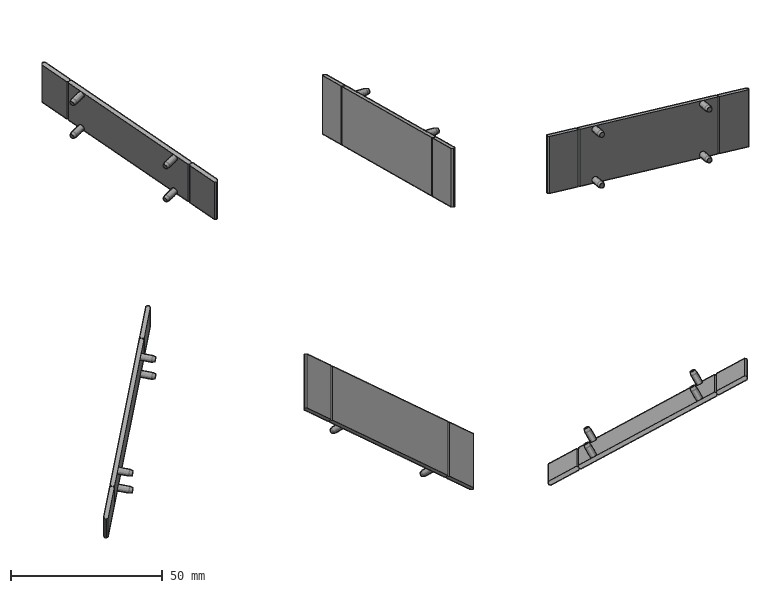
import cadquery as cq

plate_length = 75.0
plate_height = 21.0
plate_thickness = 1.6
web_thickness = 0.5
end_bevel_length = 0.5

groove_spacing = 52.0
groove_width = 0.7

pin_diameter = 2.3
pin_tip_diameter = 1.8
pin_length = 4.95
pin_tip_length = 1.1
pin_spacing_x = 40.0
pin_spacing_z = plate_height - pin_diameter

half_length = plate_length / 2
half_thickness = plate_thickness / 2
half_web = web_thickness / 2


def make_plate():
    """Flat plate with both short ends bevelled from the front and back."""
    bevel_start = half_length - end_bevel_length
    outline = [
        (-half_length, -half_web),
        (-bevel_start, -half_thickness),
        (bevel_start, -half_thickness),
        (half_length, -half_web),
        (half_length, half_web),
        (bevel_start, half_thickness),
        (-bevel_start, half_thickness),
        (-half_length, half_web),
    ]
    return cq.Workplane("XY").polyline(outline).close().extrude(plate_height / 2, both=True)


def make_groove(x, side):
    """Full-height V groove at x; side is -1 for the front face, +1 for the back."""
    outline = [
        (x - groove_width / 2, side * half_thickness),
        (x, side * half_web),
        (x + groove_width / 2, side * half_thickness),
    ]
    return cq.Workplane("XY").polyline(outline).close().extrude(plate_height / 2, both=True)


def make_pin(x, z):
    """Round pin with a tapered tip, projecting from the front face."""
    face_y = -half_thickness
    tip_y = face_y - pin_length
    half_profile = [
        (0, face_y),
        (pin_diameter / 2, face_y),
        (pin_diameter / 2, tip_y + pin_tip_length),
        (pin_tip_diameter / 2, tip_y),
        (0, tip_y),
    ]
    pin = cq.Workplane("XY").polyline(half_profile).close().revolve(360, (0, 0), (0, 1))
    return pin.translate((x, 0, z))


result = make_plate()

for groove_x in (-groove_spacing / 2, groove_spacing / 2):
    for face_side in (-1, 1):
        result = result.cut(make_groove(groove_x, face_side))

for pin_x in (-pin_spacing_x / 2, pin_spacing_x / 2):
    for pin_z in (-pin_spacing_z / 2, pin_spacing_z / 2):
        result = result.union(make_pin(pin_x, pin_z))